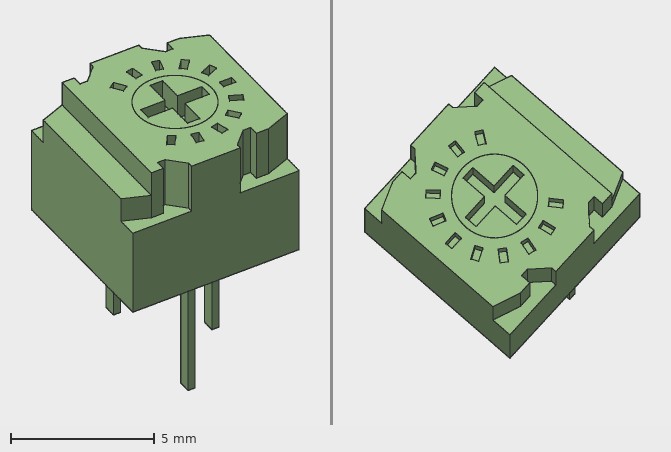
import cadquery as cq


HOUSING_SIDE = 6.8
HOUSING_HEIGHT = 5.5
SHOULDER_DROP = 2.0
LEDGE_DROP = SHOULDER_DROP / 2
HALF_SIDE = HOUSING_SIDE / 2

WAIST_HALF_WIDTH = 2.99
NOTCH_HALF_WIDTH = 2.6
SLOPE_END_HALF_WIDTH = 3.2
BEND_Y = 2.39
NOTCH_Y = 1.9
RELIEF_END_Y = 1.0
SLOPE_START_Y = RELIEF_END_Y + SLOPE_END_HALF_WIDTH - NOTCH_HALF_WIDTH

ROTOR_Y = 0.4
ROTOR_DIAMETER = 3.0
SEAT_DIAMETER = 3.01
ROTOR_HEIGHT = SHOULDER_DROP
CROSS_LENGTH = 2.5
CROSS_WIDTH = 0.5
CROSS_DEPTH = ROTOR_HEIGHT / 2

MARK_COUNT = 11
MARK_STEP_ANGLE = 25
MARK_RADIUS = 2.15
MARK_LENGTH = 0.5
MARK_WIDTH = 0.29
MARK_DEPTH = 0.5

PIN_LENGTH = 5.0
PIN_WIDTH = 0.5
PIN_THICKNESS = 0.29
PIN_PITCH = 2.5
SIDE_PIN_Y = -0.6
PIN_POSITIONS = [
    (-PIN_PITCH, SIDE_PIN_Y),
    (0, SIDE_PIN_Y + PIN_PITCH),
    (PIN_PITCH, SIDE_PIN_Y),
]


def make_corner_relief(x_side, y_side):
    """Material removed above the shoulder at the corner given by the signs of X and Y."""
    outline = [
        (HALF_SIDE, HALF_SIDE),
        (NOTCH_HALF_WIDTH, HALF_SIDE),
        (WAIST_HALF_WIDTH, BEND_Y),
        (WAIST_HALF_WIDTH, NOTCH_Y),
        (NOTCH_HALF_WIDTH, NOTCH_Y),
        (NOTCH_HALF_WIDTH, SLOPE_START_Y),
        (SLOPE_END_HALF_WIDTH, RELIEF_END_Y),
        (HALF_SIDE, RELIEF_END_Y),
    ]
    corner = [(x_side * x, y_side * y) for x, y in outline]
    return (
        cq.Workplane("XY", origin=(0, 0, HOUSING_HEIGHT))
        .polyline(corner)
        .close()
        .extrude(-SHOULDER_DROP)
    )


def make_front_ledge_cut():
    """Step that lowers the front (-Y) end of the top face."""
    return cq.Workplane("XY").box(
        HOUSING_SIDE, HALF_SIDE - BEND_Y, LEDGE_DROP, centered=(True, False, False)
    ).translate((0, -HALF_SIDE, HOUSING_HEIGHT - LEDGE_DROP))


def make_rotor_disc(diameter):
    """Disc flush with the top face, on the rotor axis."""
    return (
        cq.Workplane("XY", origin=(0, ROTOR_Y, HOUSING_HEIGHT))
        .circle(diameter / 2)
        .extrude(-ROTOR_HEIGHT)
    )


def make_scale_marks():
    """Radial pockets at equal angles, symmetric about the +Y direction."""
    first_angle = 90 - MARK_STEP_ANGLE * (MARK_COUNT - 1) / 2
    return (
        cq.Workplane("XY", origin=(0, ROTOR_Y, HOUSING_HEIGHT))
        .polarArray(MARK_RADIUS, first_angle, MARK_STEP_ANGLE, MARK_COUNT, fill=False)
        .rect(MARK_LENGTH, MARK_WIDTH)
        .extrude(-MARK_DEPTH)
    )


def make_housing():
    housing = cq.Workplane("XY").box(
        HOUSING_SIDE, HOUSING_SIDE, HOUSING_HEIGHT, centered=(True, True, False)
    )
    for x_side in (-1, 1):
        for y_side in (-1, 1):
            housing = housing.cut(make_corner_relief(x_side, y_side))
    housing = housing.cut(make_front_ledge_cut())
    housing = housing.cut(make_rotor_disc(SEAT_DIAMETER))
    return housing.cut(make_scale_marks())


def make_rotor():
    """Disc with a cross-shaped screwdriver slot."""
    rotor = make_rotor_disc(ROTOR_DIAMETER)
    slot_plane = cq.Workplane("XY", origin=(0, ROTOR_Y, HOUSING_HEIGHT))
    for length_x, length_y in ((CROSS_LENGTH, CROSS_WIDTH), (CROSS_WIDTH, CROSS_LENGTH)):
        rotor = rotor.cut(slot_plane.rect(length_x, length_y).extrude(-CROSS_DEPTH))
    return rotor


def make_pin(x, y):
    """Flat pin hanging from the underside of the housing."""
    return cq.Workplane("XY", origin=(x, y, 0)).rect(PIN_WIDTH, PIN_THICKNESS).extrude(-PIN_LENGTH)


housing = make_housing()
rotor = make_rotor()
pins = [make_pin(x, y) for x, y in PIN_POSITIONS]

result = cq.Compound.makeCompound([housing.val(), rotor.val(), *[pin.val() for pin in pins]])